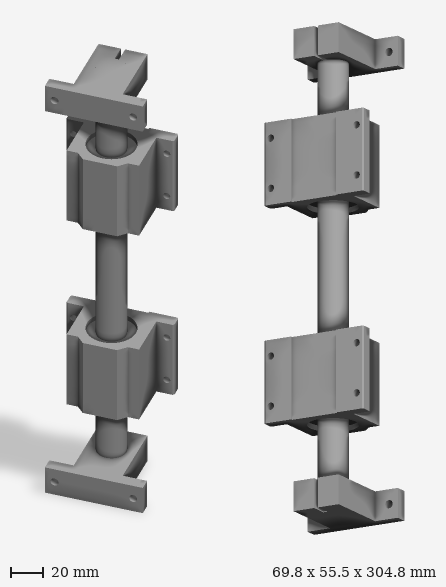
import cadquery as cq

shaft_length = 304.8
shaft_diameter = 19.2

support_thickness = 19.0
support_base_width = 63.5
support_base_depth = 8.0
support_column_width = 31.7
support_front = -31.7
support_back = 20.7
support_slot_width = 2.7
support_hole_diameter = 5.2
support_hole_spacing = 51.0
support_center_z = (shaft_length - support_thickness) / 2

housing_length = 52.5
housing_spacing = 137.8
housing_back = 23.8
flange_width = 69.8
flange_depth = 8.2
flange_chamfer = 1.0
relief_width = 31.7
relief_depth = 1.2
body_width = 47.0
body_front = -15.5
nose_front = -20.7
nose_root_width = 32.3
nose_tip_width = 22.3
housing_hole_diameter = 4.5
housing_hole_spacing_x = 60.5
housing_hole_spacing_z = 31.7

bearing_diameter = 31.7
bearing_recess = 3.5
bearing_length = housing_length - 2 * bearing_recess


def cylinder(diameter, length):
    """Solid cylinder on the Z axis, centred on the origin."""
    return cq.Workplane("XY", origin=(0, 0, -length / 2)).circle(diameter / 2).extrude(length)


def mounting_holes(diameter, centers):
    """Cylinders along Y at the given (X, Z) centres, long enough to pass through a block."""
    return cq.Workplane("XZ").pushPoints(centers).circle(diameter / 2).extrude(shaft_length, both=True)


def mirrored_profile(half_outline, length):
    """Prism along Z whose right-hand outline is mirrored across the YZ plane."""
    left_outline = [(-x, y) for x, y in reversed(half_outline)]
    base_plane = cq.Workplane("XY", origin=(0, 0, -length / 2))
    return base_plane.polyline(half_outline + left_outline).close().extrude(length)


def make_support():
    """T-shaped clamp with a shaft bore, a clamping slot and two mounting holes."""
    base_back = support_front + support_base_depth
    half_outline = [
        (support_base_width / 2, support_front),
        (support_base_width / 2, base_back),
        (support_column_width / 2, base_back),
        (support_column_width / 2, support_back),
    ]
    slot = cq.Workplane("XY").box(support_slot_width, support_back, support_thickness)
    hole_centers = [(side * support_hole_spacing / 2, 0) for side in (-1, 1)]
    return (
        mirrored_profile(half_outline, support_thickness)
        .cut(cylinder(shaft_diameter, support_thickness))
        .cut(slot.translate((0, support_back / 2, 0)))
        .cut(mounting_holes(support_hole_diameter, hole_centers))
    )


def make_housing():
    """Flanged block with a stepped nose, a bearing bore and four mounting holes."""
    flange_front = housing_back - flange_depth
    flange_edge = flange_width / 2
    half_outline = [
        (nose_tip_width / 2, nose_front),
        (nose_root_width / 2, body_front),
        (body_width / 2, body_front),
        (body_width / 2, flange_front),
        (flange_edge - flange_chamfer, flange_front),
        (flange_edge, flange_front + flange_chamfer),
        (flange_edge, housing_back - flange_chamfer),
        (flange_edge - flange_chamfer, housing_back),
        (relief_width / 2, housing_back),
        (relief_width / 2, housing_back - relief_depth),
    ]
    hole_centers = [
        (x_side * housing_hole_spacing_x / 2, z_side * housing_hole_spacing_z / 2)
        for x_side in (-1, 1)
        for z_side in (-1, 1)
    ]
    return (
        mirrored_profile(half_outline, housing_length)
        .cut(cylinder(bearing_diameter, housing_length))
        .cut(mounting_holes(housing_hole_diameter, hole_centers))
    )


def make_bearing():
    """Plain sleeve that fills the gap between shaft and housing bore."""
    return cylinder(bearing_diameter, bearing_length).cut(cylinder(shaft_diameter, bearing_length))


shaft = cylinder(shaft_diameter, shaft_length)
bodies = [shaft.val()]
for side in (-1, 1):
    bodies.append(make_support().translate((0, 0, side * support_center_z)).val())
    bodies.append(make_housing().translate((0, 0, side * housing_spacing / 2)).val())
    bodies.append(make_bearing().translate((0, 0, side * housing_spacing / 2)).val())

result = cq.Compound.makeCompound(bodies)